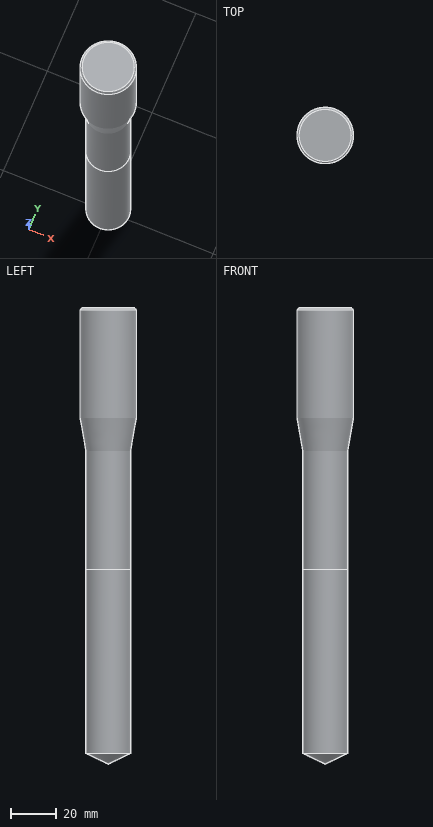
import cadquery as cq

total_length = 201.0
shank_diameter = 25.0
neck_diameter = 19.9
shank_length = 48.6
taper_length = 14.5
end_chamfer = 1.0
cutter_diameter = neck_diameter
cutter_length = 85.8
tip_height = 4.8

shank_bottom = total_length - shank_length
taper_bottom = shank_bottom - taper_length


def make_holder():
    """Cylindrical shank, chamfered at the top, tapering down to a narrower neck."""
    shank_radius = shank_diameter / 2
    neck_radius = neck_diameter / 2
    return (
        cq.Workplane("XZ")
        .moveTo(0, cutter_length)
        .lineTo(neck_radius, cutter_length)
        .lineTo(neck_radius, taper_bottom)
        .lineTo(shank_radius, shank_bottom)
        .lineTo(shank_radius, total_length - end_chamfer)
        .lineTo(shank_radius - end_chamfer, total_length)
        .lineTo(0, total_length)
        .close()
        .revolve(360, (0, 0), (0, 1))
    )


def make_cutter():
    """Round cutter with a conical point, butting against the lower face of the neck."""
    cutter_radius = cutter_diameter / 2
    return (
        cq.Workplane("XZ")
        .moveTo(0, 0)
        .lineTo(cutter_radius, tip_height)
        .lineTo(cutter_radius, cutter_length)
        .lineTo(0, cutter_length)
        .close()
        .revolve(360, (0, 0), (0, 1))
    )


holder = make_holder()
cutter = make_cutter()

result = cq.Compound.makeCompound([holder.val(), cutter.val()])